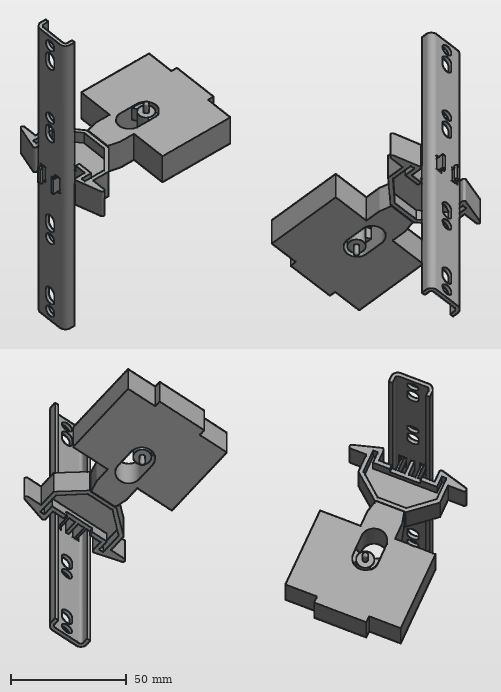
import cadquery as cq
import math


RAIL_LENGTH = 165.0
RAIL_WIDTH = 19.3
RAIL_HALF_WIDTH = RAIL_WIDTH / 2
RAIL_DEPTH = 5.8
RAIL_WALL = 1.8
RAIL_BEND = 3.1
RAIL_HOLE_DIAMETER = 5.5
RAIL_SLOT_LENGTH = 9.2
RAIL_HOLE_INNER_Z = 35.1
RAIL_HOLE_PITCH = 42.0
RAIL_SLOT_OFFSET = 9.0
RAIL_WINDOW_OUTER_X = RAIL_HALF_WIDTH - RAIL_BEND

BLOCK_THICKNESS = 15.2
BLOCK_HALF_WIDTH = 27.0
BLOCK_BOTTOM_Y = 40.8
BLOCK_SHOULDER_Y = 79.4
BLOCK_TOP_Y = 82.5
TAB_HALF_WIDTH = 12.2
NECK_HALF_WIDTH = 8.1
NECK_TAPER_Y = 33.0
NECK_END_HALF_WIDTH = 6.6

FOOT_THICKNESS = 14.4
FOOT_WALL = 2.0
FOOT_TOP_Y = 27.0
FOOT_TOP_HALF_WIDTH = 7.3
FOOT_HALF_WIDTH = 19.1
FOOT_SHOULDER_Y = 17.0
FOOT_WEB_THICKNESS = 2.5
LEG_INNER_X = 13.0
LEG_BOTTOM_Y = 2.1
LEG_ROUNDING = 1.0
BRIDGE_Y = 8.5
BRIDGE_GAP_HALF_WIDTH = 7.1
LEVER_TIP_X = 27.4
LEVER_TOP_Y = 8.1
LEVER_TIP_THICKNESS = 2.0
LEVER_TIP_ROUNDING = 0.8
CAVITY_TOP_HALF_WIDTH = 6.8
CAVITY_SHOULDER_Y = 16.0
CAVITY_BOTTOM_Y = 5.1

PRONG_HEIGHT = 8.5
PRONG_OUTER_X = 5.1
PRONG_WALL = 1.0
PRONG_END_Y = -2.5
BARB_Y = -1.3
BARB_INNER_X = 3.1
BARB_TIP_X = 3.6
RIB_WIDTH = 1.6

SLOT_WIDTH = 11.5
SLOT_LENGTH = 20.8
SLOT_TOP_Y = 60.0
PIN_Y = 54.6
PIN_DIAMETER = 2.5
PIN_LENGTH = 24.8
PIN_TIP = 1.0
COLLAR_DIAMETER = 8.0
COLLAR_LENGTH = 13.9
GRIP_HEIGHT = COLLAR_LENGTH / 2
GRIP_UPPER_ANGLE = 39.0
GRIP_LOWER_ANGLE = -29.0


def prism(workplane_outline, height):
    """Extrude an XY outline by the given height, centred on Z = 0."""
    return workplane_outline.extrude(height / 2, both=True)


def box_between(x_range, y_range, height):
    """Box between two X and two Y values, centred on Z = 0."""
    x_min, x_max = x_range
    y_min, y_max = y_range
    outline = cq.Workplane("XY").moveTo((x_min + x_max) / 2, (y_min + y_max) / 2)
    return prism(outline.rect(x_max - x_min, y_max - y_min), height)


def both_sides(solid):
    """The solid together with its mirror image across X = 0."""
    return solid.union(solid.mirror("YZ"))


def make_rail():
    """C-shaped rail with round bends, mounting holes and two windows for the prongs."""
    outer = box_between((-RAIL_HALF_WIDTH, RAIL_HALF_WIDTH), (0, RAIL_DEPTH), RAIL_LENGTH)
    outer = outer.edges("|Z and <Y").fillet(RAIL_BEND)
    inner_half_width = RAIL_HALF_WIDTH - RAIL_WALL
    inner = box_between((-inner_half_width, inner_half_width), (RAIL_WALL, RAIL_DEPTH), RAIL_LENGTH)
    inner = inner.edges("|Z and <Y").fillet(RAIL_BEND - RAIL_WALL)
    rail = outer.cut(inner)

    hole_z = []
    slot_z = []
    for side in (-1, 1):
        for index in range(2):
            z = RAIL_HOLE_INNER_Z + index * RAIL_HOLE_PITCH
            hole_z.append((0, side * z))
            slot_z.append((0, side * (z - RAIL_SLOT_OFFSET)))
    front = cq.Workplane("XZ")
    holes = front.pushPoints(hole_z).circle(RAIL_HOLE_DIAMETER / 2).extrude(-RAIL_WALL)
    slots = front.pushPoints(slot_z).slot2D(RAIL_SLOT_LENGTH, RAIL_HOLE_DIAMETER, 90).extrude(-RAIL_WALL)
    window = box_between((BARB_INNER_X, RAIL_WINDOW_OUTER_X), (0, RAIL_WALL), PRONG_HEIGHT)
    return rail.cut(holes).cut(slots).cut(both_sides(window))


def make_block():
    """Stepped block with a tapered neck and a long slot through it."""
    half_outline = [
        (0, BLOCK_TOP_Y),
        (TAB_HALF_WIDTH, BLOCK_TOP_Y),
        (TAB_HALF_WIDTH, BLOCK_SHOULDER_Y),
        (BLOCK_HALF_WIDTH, BLOCK_SHOULDER_Y),
        (BLOCK_HALF_WIDTH, BLOCK_BOTTOM_Y),
        (NECK_HALF_WIDTH, BLOCK_BOTTOM_Y),
        (NECK_HALF_WIDTH, NECK_TAPER_Y),
        (NECK_END_HALF_WIDTH, FOOT_TOP_Y),
        (0, FOOT_TOP_Y),
    ]
    block = prism(cq.Workplane("XY").polyline(half_outline).mirrorY(), BLOCK_THICKNESS)
    return block.cut(slot_shape(BLOCK_THICKNESS))


def slot_shape(height):
    """Round-ended slot of the block, as a solid of the given height."""
    slot_outline = cq.Workplane("XY").center(0, SLOT_TOP_Y - SLOT_LENGTH / 2)
    return prism(slot_outline.slot2D(SLOT_LENGTH, SLOT_WIDTH, 90), height)


def collar_shape():
    """Cylinder of the pin collar, which also cuts its seat between the grips."""
    return prism(cq.Workplane("XY").center(0, PIN_Y).circle(COLLAR_DIAMETER / 2), COLLAR_LENGTH)


def make_grips():
    """Two wedges between the slot walls and the pin collar, in the upper half of the slot."""
    corners = [(0, PIN_Y)]
    for angle in (GRIP_LOWER_ANGLE, GRIP_UPPER_ANGLE):
        slope = math.tan(math.radians(angle))
        corners.append((SLOT_WIDTH, PIN_Y + SLOT_WIDTH * slope))
    wedge = cq.Workplane("XY").polyline(corners).close().extrude(GRIP_HEIGHT)
    grip = wedge.intersect(slot_shape(BLOCK_THICKNESS)).cut(collar_shape())
    return both_sides(grip)


def make_foot():
    """Hollow foot with a middle web, two levers and legs that straddle the rail."""
    lever_lower_y = LEVER_TOP_Y - LEVER_TIP_THICKNESS
    lever_round_x = LEVER_TIP_X - LEVER_TIP_ROUNDING
    lever_middle_y = LEVER_TOP_Y - LEVER_TIP_THICKNESS / 2
    outline = (
        cq.Workplane("XY")
        .moveTo(0, FOOT_TOP_Y)
        .lineTo(FOOT_TOP_HALF_WIDTH, FOOT_TOP_Y)
        .lineTo(FOOT_HALF_WIDTH, FOOT_SHOULDER_Y)
        .lineTo(FOOT_HALF_WIDTH, LEVER_TOP_Y)
        .lineTo(lever_round_x, LEVER_TOP_Y)
        .threePointArc((LEVER_TIP_X, lever_middle_y), (lever_round_x, lever_lower_y))
        .lineTo(LEG_INNER_X, LEG_BOTTOM_Y)
        .lineTo(LEG_INNER_X, BRIDGE_Y)
        .lineTo(0, BRIDGE_Y)
        .mirrorY()
    )
    foot = prism(outline, FOOT_THICKNESS)
    foot = foot.edges("|Z and <Y").fillet(LEG_ROUNDING)

    bridge_top_y = BRIDGE_Y + FOOT_WALL
    leg_outer_x = LEG_INNER_X + FOOT_WALL
    cavity_half_width = FOOT_HALF_WIDTH - FOOT_WALL
    cavity_half_outline = [
        (0, FOOT_TOP_Y - FOOT_WALL),
        (CAVITY_TOP_HALF_WIDTH, FOOT_TOP_Y - FOOT_WALL),
        (cavity_half_width, CAVITY_SHOULDER_Y),
        (cavity_half_width, CAVITY_BOTTOM_Y),
        (leg_outer_x, CAVITY_BOTTOM_Y),
        (leg_outer_x, bridge_top_y),
        (0, bridge_top_y),
    ]
    cavity = prism(cq.Workplane("XY").polyline(cavity_half_outline).mirrorY(), FOOT_THICKNESS)
    web = box_between((-FOOT_HALF_WIDTH, FOOT_HALF_WIDTH), (0, FOOT_TOP_Y), FOOT_WEB_THICKNESS)

    gap_x = (-BRIDGE_GAP_HALF_WIDTH, BRIDGE_GAP_HALF_WIDTH)
    gap_y = (BRIDGE_Y, bridge_top_y)
    bridge_gap = box_between(gap_x, gap_y, FOOT_THICKNESS).cut(box_between(gap_x, gap_y, PRONG_HEIGHT))
    return foot.cut(cavity.cut(web)).cut(bridge_gap)


def make_prongs():
    """Two barbed prongs that hook through the rail, and a middle rib that rests on it."""
    prong_inner_x = PRONG_OUTER_X - PRONG_WALL
    outline = cq.Workplane("XY").polyline([
        (PRONG_OUTER_X, BRIDGE_Y),
        (PRONG_OUTER_X, PRONG_END_Y),
        (BARB_TIP_X, PRONG_END_Y),
        (BARB_INNER_X, BARB_Y),
        (prong_inner_x, BARB_Y),
        (prong_inner_x, BRIDGE_Y),
    ]).close()
    rib = box_between((-RIB_WIDTH / 2, RIB_WIDTH / 2), (RAIL_WALL, BRIDGE_Y), PRONG_HEIGHT)
    return both_sides(prism(outline, PRONG_HEIGHT)).union(rib)


def make_holder():
    """Block, foot, prongs and grips moulded as one solid."""
    return make_foot().union(make_prongs()).union(make_block()).union(make_grips())


def make_pin():
    """Pin with domed ends and a wide collar in the middle."""
    radius = PIN_DIAMETER / 2
    tip_z = PIN_LENGTH / 2
    shoulder_z = tip_z - PIN_TIP
    dome_radius = (radius**2 + PIN_TIP**2) / (2 * PIN_TIP)
    half_profile = (
        cq.Workplane("XZ", origin=(0, PIN_Y, 0))
        .moveTo(0, -tip_z)
        .radiusArc((radius, -shoulder_z), -dome_radius)
        .lineTo(radius, shoulder_z)
        .radiusArc((0, tip_z), -dome_radius)
        .close()
    )
    shaft = half_profile.revolve(360, (0, 0), (0, 1))
    return shaft.union(collar_shape())


rail = make_rail()
holder = make_holder()
pin = make_pin()

result = cq.Compound.makeCompound([rail.val(), holder.val(), pin.val()])